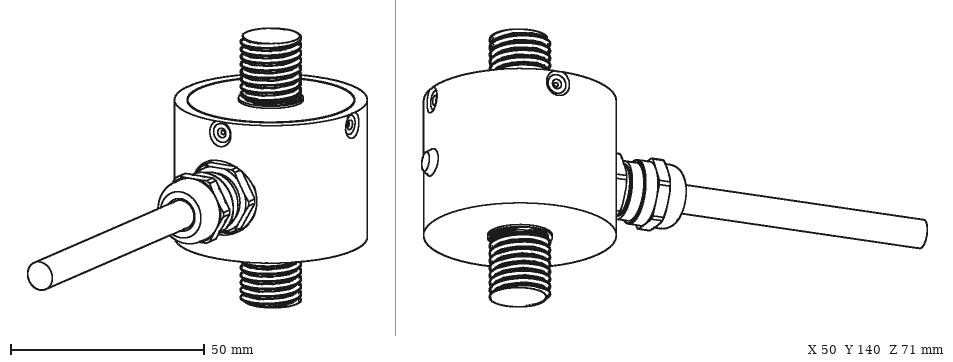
import cadquery as cq
import math

HOUSING_DIAMETER = 50.0
HOUSING_RADIUS = HOUSING_DIAMETER / 2
HOUSING_HEIGHT = 37.0
OVERALL_HEIGHT = 71.0
OVERALL_LENGTH = 140.0

LID_DIAMETER = 43.1
LID_JOINT_WIDTH = 0.1
LID_JOINT_DEPTH = 0.1

STUD_LENGTH = (OVERALL_HEIGHT - HOUSING_HEIGHT) / 2
THREAD_CREST_DIAMETER = 15.8
THREAD_ROOT_DIAMETER = 13.7
THREAD_PITCH = 2.0
THREAD_CREST_WIDTH = 0.3
THREAD_ROOT_WIDTH = 0.1
FLANK_SAMPLES = 12
CREST_BELOW_TIP = 0.63
COLLAR_DIAMETER = 16.8
COLLAR_HEIGHT = 0.5

SCREW_COUNT = 4
SCREW_BELOW_TOP = 3.2
COUNTERSINK_DIAMETER = 6.9
SCREW_HEAD_DIAMETER = 5.0
COUNTERSINK_DEPTH = (COUNTERSINK_DIAMETER - SCREW_HEAD_DIAMETER) / 2
SOCKET_DIAMETER = 2.5
SOCKET_FLOOR_DIAMETER = 1.1
SOCKET_DEPTH = 0.5

OUTLET_Z = -2.0
PLUG_BASE_DIAMETER = 7.5
PLUG_TIP_DIAMETER = 5.0
PLUG_HEIGHT = 1.7
PLUG_ROOT = 1.4
SPOT_FACE_DIAMETER = 19.9
SPOT_FACE_Y = math.sqrt(HOUSING_RADIUS**2 - (SPOT_FACE_DIAMETER / 2) ** 2)

HEX_ACROSS_FLATS = 16.8
HEX_CORNER_DIAMETER = 18.8
HEX_TURN = 30.0
HEX_CHAMFER_AXIAL = 0.3
HEX_CHAMFER_RADIAL = 0.7
BASE_HEX_END = 26.3
NECK_DIAMETER = 13.9
NECK_END = 28.0
GROOVE_DIAMETER = 13.6
GROOVE_END = 28.4
SEAL_DIAMETER = 15.3
SEAL_END = 31.6
DOME_NUT_DIAMETER = 16.8
DOME_NUT_CHAMFER = 0.3
DOME_HEX_START = 35.3
DOME_HEX_END = 38.6
DOME_START = 40.9
DOME_END = 44.2
DOME_FACE_DIAMETER = 12.3
CABLE_DIAMETER = 7.5
CABLE_MOUTH_DIAMETER = 8.7
CABLE_MOUTH_DEPTH = 0.4
CABLE_END = OVERALL_LENGTH - HOUSING_RADIUS - PLUG_HEIGHT


def front_workplane(distance):
    """Plane at y = -distance on the outlet axis, facing -Y."""
    return cq.Workplane("XZ", origin=(0, -distance, OUTLET_Z))


def threaded_rod():
    """Stud standing on z = 0: the thread's level cross-section twisted upward, right-handed."""
    crest_radius = THREAD_CREST_DIAMETER / 2
    root_radius = THREAD_ROOT_DIAMETER / 2

    degrees_per_unit = 360 / THREAD_PITCH
    crest_half = THREAD_CREST_WIDTH / 2 * degrees_per_unit
    root_sweep = THREAD_ROOT_WIDTH * degrees_per_unit
    flank_sweep = (360 - root_sweep) / 2 - crest_half
    root_start = crest_half + flank_sweep

    def polar(radius, angle):
        return (radius * math.cos(math.radians(angle)), radius * math.sin(math.radians(angle)))

    def falling_flank(t):
        return polar(crest_radius + (root_radius - crest_radius) * t, crest_half + flank_sweep * t)

    def rising_flank(t):
        return polar(
            root_radius + (crest_radius - root_radius) * t, root_start + root_sweep + flank_sweep * t
        )

    twist = STUD_LENGTH * degrees_per_unit
    crest_angle_at_base = CREST_BELOW_TIP * degrees_per_unit - twist
    return (
        cq.Workplane("XY")
        .transformed(rotate=(0, 0, crest_angle_at_base))
        .moveTo(*polar(crest_radius, -crest_half))
        .threePointArc(polar(crest_radius, 0), polar(crest_radius, crest_half))
        .parametricCurve(falling_flank, N=FLANK_SAMPLES, makeWire=False)
        .threePointArc(polar(root_radius, 180), polar(root_radius, root_start + root_sweep))
        .parametricCurve(rising_flank, N=FLANK_SAMPLES, makeWire=False)
        .wire()
        .twistExtrude(STUD_LENGTH, twist)
    )


def upper_stud():
    """Threaded rod with its base collar, standing on the housing top."""
    collar = cq.Workplane("XY").circle(COLLAR_DIAMETER / 2).extrude(COLLAR_HEIGHT)
    return threaded_rod().union(collar).translate((0, 0, HOUSING_HEIGHT / 2))


def lid_joint():
    """Hairline ring groove in the top face."""
    return (
        cq.Workplane("XY", origin=(0, 0, HOUSING_HEIGHT / 2 - LID_JOINT_DEPTH))
        .circle(LID_DIAMETER / 2 + LID_JOINT_WIDTH)
        .circle(LID_DIAMETER / 2)
        .extrude(LID_JOINT_DEPTH)
    )


def screw_recess():
    """Countersink and tapered socket of one set screw, as a turned cutter on the -Y side of the housing."""
    head_y = HOUSING_RADIUS - COUNTERSINK_DEPTH
    socket_y = head_y - SOCKET_DEPTH
    return (
        cq.Workplane("XY")
        .polyline([
            (0, -HOUSING_RADIUS),
            (COUNTERSINK_DIAMETER / 2, -HOUSING_RADIUS),
            (SCREW_HEAD_DIAMETER / 2, -head_y),
            (SOCKET_DIAMETER / 2, -head_y),
            (SOCKET_FLOOR_DIAMETER / 2, -socket_y),
            (0, -socket_y),
        ])
        .close()
        .revolve(360, (0, 0, 0), (0, 1, 0))
        .translate((0, 0, HOUSING_HEIGHT / 2 - SCREW_BELOW_TOP))
    )


def plug():
    """Cone-shaped plug with a flat tip on the +Y side."""
    base_radius = PLUG_BASE_DIAMETER / 2
    shoulder_y = math.sqrt(HOUSING_RADIUS**2 - base_radius**2)
    tip_y = HOUSING_RADIUS + PLUG_HEIGHT
    return (
        cq.Workplane("XY")
        .polyline([
            (0, shoulder_y - PLUG_ROOT),
            (base_radius, shoulder_y - PLUG_ROOT),
            (base_radius, shoulder_y),
            (PLUG_TIP_DIAMETER / 2, tip_y),
            (0, tip_y),
        ])
        .close()
        .revolve(360, (0, 0, 0), (0, 1, 0))
        .translate((0, 0, OUTLET_Z))
    )


def make_sensor():
    """Housing with both studs, lid joint, set screws, plug and the gland seat."""
    sensor = cq.Workplane("XY").circle(HOUSING_RADIUS).extrude(HOUSING_HEIGHT / 2, both=True)
    sensor = sensor.cut(lid_joint())
    for index in range(SCREW_COUNT):
        turn = index * 360 / SCREW_COUNT
        sensor = sensor.cut(screw_recess().rotate((0, 0, 0), (0, 0, 1), turn))

    spot_face = front_workplane(SPOT_FACE_Y).circle(SPOT_FACE_DIAMETER / 2).extrude(HOUSING_RADIUS)
    sensor = sensor.cut(spot_face).union(plug())

    stud = upper_stud()
    lower_stud = stud.rotate((0, 0, 0), (0, 1, 0), 180)
    return sensor.union(stud).union(lower_stud)


def hexagon(start, end):
    """Hexagonal collar with rounded corners, chamfered on its outer face."""
    length = end - start
    corner_radius = HEX_CORNER_DIAMETER / 2
    prism = (
        front_workplane(start)
        .transformed(rotate=(0, 0, HEX_TURN))
        .polygon(6, HEX_ACROSS_FLATS, circumscribed=True)
        .extrude(length)
    )
    envelope = (
        front_workplane(start)
        .circle(corner_radius)
        .extrude(length)
        .faces("<Y")
        .chamfer(HEX_CHAMFER_AXIAL, HEX_CHAMFER_RADIAL)
    )
    return prism.intersect(envelope)


def make_cable_gland():
    """Gland and cable: stepped turned profile plus two hexagons."""
    seal_radius = SEAL_DIAMETER / 2
    nut_radius = DOME_NUT_DIAMETER / 2
    cable_radius = CABLE_DIAMETER / 2
    turned = (
        cq.Workplane("XY")
        .moveTo(0, -SPOT_FACE_Y)
        .lineTo(NECK_DIAMETER / 2, -SPOT_FACE_Y)
        .lineTo(NECK_DIAMETER / 2, -NECK_END)
        .lineTo(GROOVE_DIAMETER / 2, -NECK_END)
        .lineTo(GROOVE_DIAMETER / 2, -GROOVE_END)
        .lineTo(seal_radius, -GROOVE_END)
        .lineTo(seal_radius, -SEAL_END)
        .lineTo(nut_radius - DOME_NUT_CHAMFER, -SEAL_END)
        .lineTo(nut_radius, -SEAL_END - DOME_NUT_CHAMFER)
        .lineTo(nut_radius, -DOME_START)
        .tangentArcPoint((DOME_FACE_DIAMETER / 2, -DOME_END), relative=False)
        .lineTo(CABLE_MOUTH_DIAMETER / 2, -DOME_END)
        .lineTo(cable_radius, CABLE_MOUTH_DEPTH - DOME_END)
        .lineTo(cable_radius, -CABLE_END)
        .lineTo(0, -CABLE_END)
        .close()
        .revolve(360, (0, 0, 0), (0, 1, 0))
        .translate((0, 0, OUTLET_Z))
    )
    base_hex = hexagon(SPOT_FACE_Y, BASE_HEX_END)
    dome_hex = hexagon(DOME_HEX_START, DOME_HEX_END)
    return turned.union(base_hex).union(dome_hex)


sensor = make_sensor()
cable_gland = make_cable_gland()

result = cq.Compound.makeCompound([sensor.solids().val(), cable_gland.solids().val()])